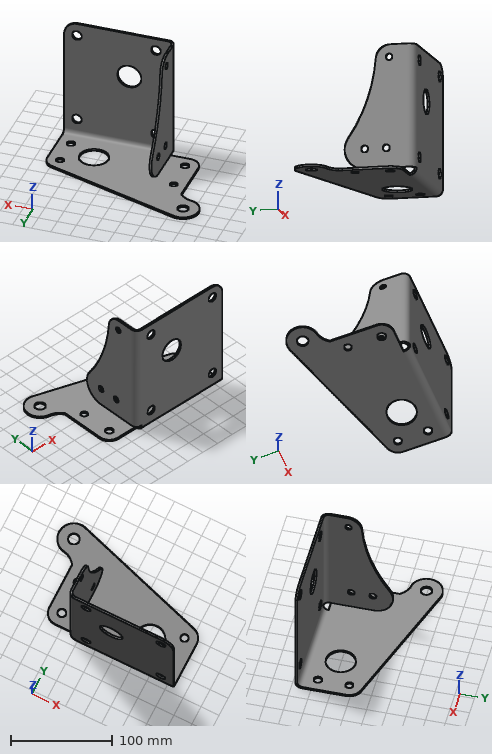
import cadquery as cq
import math

SHEET = 2.25
INNER_BEND = 5.1
OUTER_BEND = INNER_BEND + SHEET

OVERALL_LENGTH = 174.29
RIGHT_X = 116.5
EAR_TIP_X = RIGHT_X - OVERALL_LENGTH
DEPTH = 111.72
HEIGHT = 131.82

BASE_LEFT_X = -30.9
BASE_CORNER_RADIUS = 13.0
EAR_RADIUS = 16.4
EAR_CENTER = (EAR_TIP_X + EAR_RADIUS, DEPTH - EAR_RADIUS)
SLOPE_CORNER_RADIUS = 13.5
SLOPE_CORNER_CENTER = (RIGHT_X - SLOPE_CORNER_RADIUS, 52.1)
NECK_RADIUS = 19.5
NECK_END_Y = 70.5
BASE_HOLES = [
    (EAR_CENTER[0], EAR_CENTER[1], 11.4),
    (-17.9, 56.5, 7.5),
    (-17.2, 20.85, 8.7),
    (SLOPE_CORNER_CENTER[0], SLOPE_CORNER_CENTER[1], 8.0),
    (SLOPE_CORNER_CENTER[0], 20.0, 8.5),
    (73.0, 36.0, 30.0),
]

FRONT_CORNER_RADIUS = 14.25
MOUNT_HOLE = 10.0
MOUNT_PITCH_X = 83.0
MOUNT_PITCH_Z = 98.1
MOUNT_EDGE_DISTANCE = 13.55
MOUNT_RIGHT_X = RIGHT_X - MOUNT_EDGE_DISTANCE
MOUNT_TOP_Z = HEIGHT - MOUNT_EDGE_DISTANCE
FRONT_BORE = 25.0
FRONT_BORE_CENTER = (47.9, 81.75)

FLANGE_DEPTH = 71.8
LOBE_RADIUS = 20.0
LOBE_CENTER = (FLANGE_DEPTH - LOBE_RADIUS, OUTER_BEND + LOBE_RADIUS)
TOP_CORNER_RADIUS = 14.75
TOP_CORNER_CENTER = (25.4, HEIGHT - TOP_CORNER_RADIUS)
SWEEP_RADIUS = 161.0
FLANGE_HOLES = [
    (26.5, 119.2, 6.5),
    (29.4, LOBE_CENTER[1], 7.0),
    (51.4, LOBE_CENTER[1], 7.0),
]


def polar(center, radius, angle):
    """Point on a circle; the angle is in radians."""
    return (center[0] + radius * math.cos(angle), center[1] + radius * math.sin(angle))


def toward(start, end, distance):
    """Point at a distance from start in the direction of end."""
    return polar(start, distance, math.atan2(end[1] - start[1], end[0] - start[0]))


def circle_crossing(center_a, radius_a, center_b, radius_b):
    """Crossing of two circles that lies to the left of the line from a to b."""
    span = math.dist(center_a, center_b)
    along = (span**2 + radius_a**2 - radius_b**2) / (2 * span)
    heading = math.atan2(center_b[1] - center_a[1], center_b[0] - center_a[0])
    return polar(center_a, radius_a, heading + math.acos(along / radius_a))


def arc_middle(center, radius, start, end):
    """Point halfway along the shorter arc from start to end."""
    middle = ((start[0] + end[0]) / 2, (start[1] + end[1]) / 2)
    return toward(center, middle, radius)


def base_plate():
    """Flat base with an ear, whose concave neck arc runs into the left edge."""
    span = math.dist(EAR_CENTER, SLOPE_CORNER_CENTER)
    heading = math.atan2(
        SLOPE_CORNER_CENTER[1] - EAR_CENTER[1], SLOPE_CORNER_CENTER[0] - EAR_CENTER[0]
    )
    normal = heading + math.acos((EAR_RADIUS - SLOPE_CORNER_RADIUS) / span)
    slope_start = polar(EAR_CENTER, EAR_RADIUS, normal)
    slope_end = polar(SLOPE_CORNER_CENTER, SLOPE_CORNER_RADIUS, normal)

    neck_end = (BASE_LEFT_X, NECK_END_Y)
    neck_center = circle_crossing(neck_end, NECK_RADIUS, EAR_CENTER, EAR_RADIUS + NECK_RADIUS)
    neck_start = toward(EAR_CENTER, neck_center, EAR_RADIUS)

    corner_center = (BASE_LEFT_X + BASE_CORNER_RADIUS, OUTER_BEND + BASE_CORNER_RADIUS)
    corner_end = (corner_center[0], OUTER_BEND)
    corner_start = (BASE_LEFT_X, corner_center[1])
    plate = (
        cq.Workplane("XY")
        .moveTo(RIGHT_X, OUTER_BEND)
        .lineTo(RIGHT_X, SLOPE_CORNER_CENTER[1])
        .threePointArc(polar(SLOPE_CORNER_CENTER, SLOPE_CORNER_RADIUS, normal / 2), slope_end)
        .lineTo(*slope_start)
        .threePointArc((EAR_TIP_X, EAR_CENTER[1]), neck_start)
        .threePointArc(arc_middle(neck_center, NECK_RADIUS, neck_start, neck_end), neck_end)
        .lineTo(*corner_start)
        .threePointArc(
            arc_middle(corner_center, BASE_CORNER_RADIUS, corner_start, corner_end), corner_end
        )
        .close()
        .extrude(SHEET)
    )
    for x, y, diameter in BASE_HOLES:
        plate = plate.cut(cq.Workplane("XY").center(x, y).circle(diameter / 2).extrude(SHEET))
    return plate


def front_plate():
    """Upright plate with four mounting holes and a bore."""
    width = RIGHT_X - OUTER_BEND
    height = HEIGHT - OUTER_BEND
    plate = cq.Workplane("XY").box(width, SHEET, height, centered=False)
    plate = plate.edges(">X and >Z").fillet(FRONT_CORNER_RADIUS)
    plate = plate.translate((OUTER_BEND, 0, OUTER_BEND))

    def drill(x, z, diameter):
        return cq.Workplane("XZ").center(x, z).circle(diameter / 2).extrude(-SHEET)

    for x in (MOUNT_RIGHT_X - MOUNT_PITCH_X, MOUNT_RIGHT_X):
        for z in (MOUNT_TOP_Z - MOUNT_PITCH_Z, MOUNT_TOP_Z):
            plate = plate.cut(drill(x, z, MOUNT_HOLE))
    return plate.cut(drill(*FRONT_BORE_CENTER, FRONT_BORE))


def side_flange():
    """Side gusset: a lower lobe and an upper corner joined by a tangent concave sweep."""
    sweep_center = circle_crossing(
        TOP_CORNER_CENTER, TOP_CORNER_RADIUS + SWEEP_RADIUS, LOBE_CENTER, LOBE_RADIUS + SWEEP_RADIUS
    )
    lobe_end = toward(LOBE_CENTER, sweep_center, LOBE_RADIUS)
    corner_start = toward(TOP_CORNER_CENTER, sweep_center, TOP_CORNER_RADIUS)
    corner_end = (TOP_CORNER_CENTER[0], HEIGHT)
    flange = (
        cq.Workplane("YZ")
        .moveTo(OUTER_BEND, OUTER_BEND)
        .lineTo(LOBE_CENTER[0], OUTER_BEND)
        .threePointArc((FLANGE_DEPTH, LOBE_CENTER[1]), lobe_end)
        .threePointArc(arc_middle(sweep_center, SWEEP_RADIUS, lobe_end, corner_start), corner_start)
        .threePointArc(
            arc_middle(TOP_CORNER_CENTER, TOP_CORNER_RADIUS, corner_start, corner_end), corner_end
        )
        .lineTo(OUTER_BEND, HEIGHT)
        .close()
        .extrude(SHEET)
    )
    for y, z, diameter in FLANGE_HOLES:
        flange = flange.cut(cq.Workplane("YZ").center(y, z).circle(diameter / 2).extrude(SHEET))
    return flange


def bend(plane, length):
    """Quarter-tube bend, cornered at the origin of the plane."""
    ring = (
        cq.Workplane(plane)
        .center(OUTER_BEND, OUTER_BEND)
        .circle(OUTER_BEND)
        .circle(INNER_BEND)
        .extrude(length)
    )
    quarter = cq.Workplane(plane).rect(OUTER_BEND, OUTER_BEND, centered=False).extrude(length)
    return ring.intersect(quarter)


base_bend = bend("YZ", RIGHT_X - OUTER_BEND).translate((OUTER_BEND, 0, 0))
side_bend = bend("XY", HEIGHT - OUTER_BEND).translate((0, 0, OUTER_BEND))

bracket = base_plate().union(base_bend).union(front_plate()).union(side_bend).union(side_flange())
result = bracket.solids()